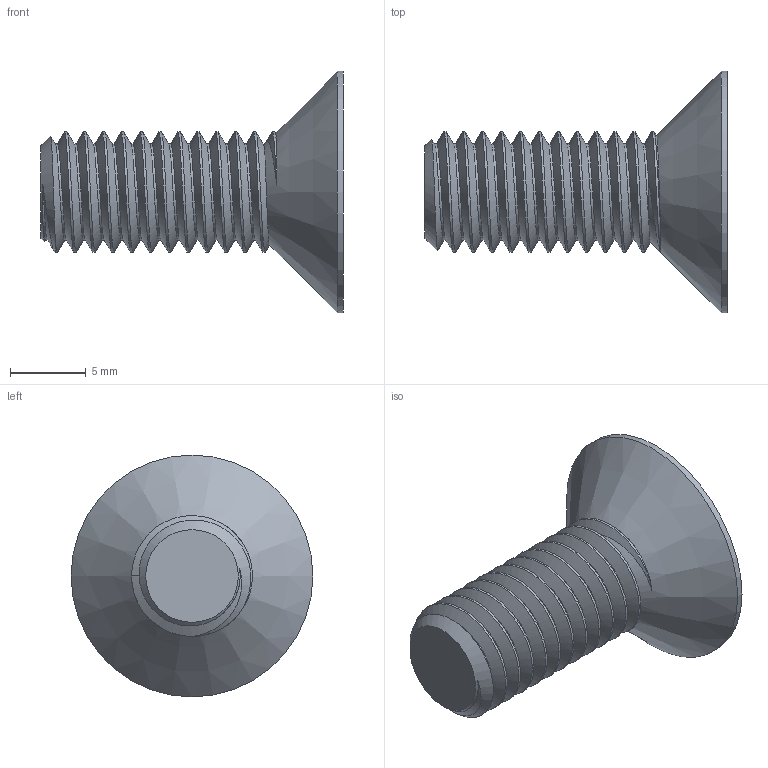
import cadquery as cq
import math

total_length = 20.0
thread_diameter = 8.0
pitch = 1.25
head_diameter = 16.0
rim_thickness = 0.4

flank_half_angle = math.radians(30)
thread_flat = pitch / 8
flank_width = (pitch - 2 * thread_flat) / 2
thread_depth = flank_width / math.tan(flank_half_angle)

major_radius = thread_diameter / 2
core_radius = major_radius - thread_depth
head_radius = head_diameter / 2

tip_chamfer = 0.75 * pitch
tip_radius = major_radius - tip_chamfer

rim_start = total_length - rim_thickness
cone_apex = rim_start - head_radius
neck_position = rim_start - (head_radius - major_radius)

shank_end = neck_position + pitch

crest_offset = thread_flat / 2

tooth_profile = [
    (core_radius, 0),
    (core_radius, thread_flat),
    (major_radius, thread_flat + flank_width),
    (major_radius, 2 * thread_flat + flank_width),
    (core_radius, pitch),
]
tooth_center = pitch / 2 + thread_flat / 2

turns_before_tip = 2
thread_start = crest_offset - tooth_center - turns_before_tip * pitch
turn_count = math.ceil((shank_end - thread_start) / pitch) + 1


def helix_turn(radius, start):
    """One right-handed turn around Z, starting on the +X side."""
    helix = cq.Wire.makeHelix(pitch, pitch, radius)
    return helix.translate(cq.Vector(0, 0, start)).Edges()[0]


def thread_turn_faces(start):
    """Root, flank and crest faces of one turn."""
    edges = [helix_turn(radius, start + offset) for radius, offset in tooth_profile]
    return [cq.Face.makeRuledSurface(lower, upper) for lower, upper in zip(edges, edges[1:])]


def thread_end_faces(start):
    """Helicoid from the root to the axis and the flat step that close one end of the thread."""
    axis_bottom = cq.Vector(0, 0, start)
    axis_top = cq.Vector(0, 0, start + pitch)
    axis = cq.Edge.makeLine(axis_bottom, axis_top)
    helicoid = cq.Face.makeRuledSurface(helix_turn(core_radius, start), axis)
    tooth = [cq.Vector(radius, 0, start + offset) for radius, offset in tooth_profile]
    step_outline = cq.Wire.makePolygon([axis_bottom, *tooth, axis_top], close=True)
    return [helicoid, cq.Face.makeFromWires(step_outline)]


def make_thread():
    """Solid threaded rod along Z, longer than the shank at both ends."""
    faces = []
    for turn in range(turn_count):
        faces += thread_turn_faces(thread_start + turn * pitch)
    faces += thread_end_faces(thread_start)
    faces += thread_end_faces(thread_start + turn_count * pitch)
    return cq.Workplane(cq.Solid.makeSolid(cq.Shell.makeShell(faces)))


def revolve_about_z(half_section):
    """Turned body from an outline given as (radius, axial position)."""
    return cq.Workplane("XZ").polyline(half_section).close().revolve(360, (0, 0, 0), (0, 1, 0))


def make_shank():
    """Thread trimmed to a flat, chamfered tip and to its end inside the head."""
    trimming_cone = [
        (0, 0),
        (tip_radius, 0),
        (tip_radius + shank_end, shank_end),
        (0, shank_end),
    ]
    return make_thread().intersect(revolve_about_z(trimming_cone))


def make_head():
    """Countersunk cone with a narrow cylindrical rim."""
    half_section = [
        (0, cone_apex),
        (head_radius, rim_start),
        (head_radius, total_length),
        (0, total_length),
    ]
    return revolve_about_z(half_section)


screw = make_shank().union(make_head())
result = screw.rotate((0, 0, 0), (1, 1, 1), 120)